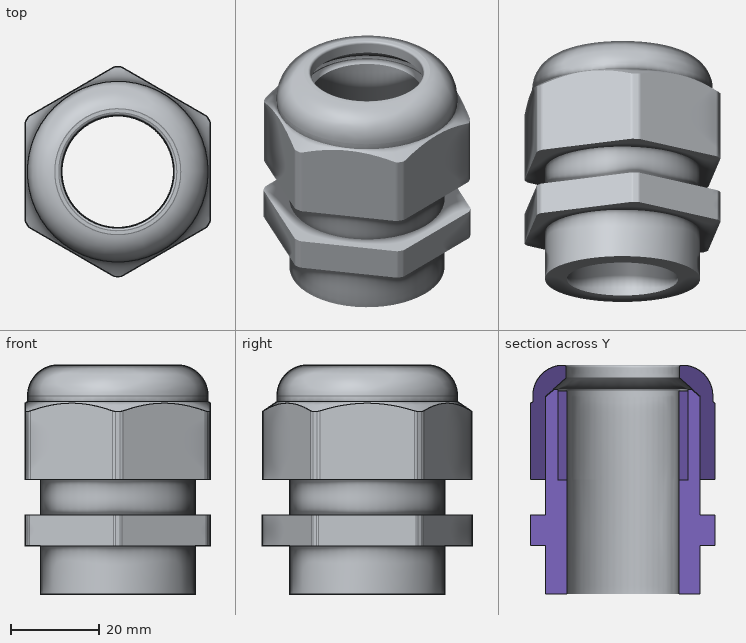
import cadquery as cq
import math


across_flats = 42.0
barrel_radius = 17.6
passage_radius = 12.65

body_top = 46.5
flange_bottom = 11.0
flange_top = 18.0
flange_corner_radius = 23.83
flange_corner_blend = 1.0

seal_radius = 14.7
seal_bottom = 26.0
seal_top = body_top - 0.3

cap_bottom = 26.0
cap_top = 52.0
cap_corner_radius = 23.75
cap_corner_blend = 1.5
chamfer_bottom = 41.5
chamfer_top = 43.7
dome_radius = 20.5
dome_start = 45.0
dome_rim_radius = 14.3
lip_radius = 12.8
lip_rounding = 0.6
lip_bottom = 49.1
clamp_slope = 0.87

dome_width = dome_radius - dome_rim_radius
dome_height = cap_top - dome_start
dome_arc_radius = (dome_width**2 + dome_height**2) / (2 * dome_width)
dome_sweep = math.asin(dome_height / dome_arc_radius)
dome_mid = (
    dome_radius - dome_arc_radius * (1 - math.cos(dome_sweep / 2)),
    dome_start + dome_arc_radius * math.sin(dome_sweep / 2),
)

clamp_bottom = lip_bottom - clamp_slope * (barrel_radius - lip_radius)
body_rim_radius = lip_radius + (lip_bottom - body_top) / clamp_slope


def revolve_about_z(profile):
    """Revolve a closed (radius, height) profile drawn in the XZ plane about Z."""
    return profile.close().revolve(360, (0, 0, 0), (0, 1, 0))


def cylinder(radius, bottom, top):
    return cq.Workplane("XY").workplane(offset=bottom).circle(radius).extrude(top - bottom)


def hex_prism(bottom, top, corner_radius, corner_blend):
    """Hexagon with corners on the Y axis, turned to a radius and blended into the flats."""
    hexagon = (
        cq.Workplane("XY")
        .workplane(offset=bottom)
        .polygon(6, across_flats, circumscribed=True)
        .extrude(top - bottom)
    )
    turned = hexagon.intersect(cylinder(corner_radius, bottom, top))
    return turned.edges("|Z").fillet(corner_blend)


def make_body():
    barrel = revolve_about_z(
        cq.Workplane("XZ")
        .lineTo(barrel_radius, 0)
        .lineTo(barrel_radius, clamp_bottom)
        .lineTo(body_rim_radius, body_top)
        .lineTo(0, body_top)
    )
    flange = hex_prism(flange_bottom, flange_top, flange_corner_radius, flange_corner_blend)
    passage = cylinder(passage_radius, 0, body_top)
    seal_seat = cylinder(seal_radius, seal_bottom, body_top)
    return barrel.union(flange).cut(passage).cut(seal_seat).solids()


def make_seal():
    sleeve = cylinder(seal_radius, seal_bottom, seal_top)
    return sleeve.cut(cylinder(passage_radius, seal_bottom, seal_top)).solids()


def make_cap():
    hexagon = hex_prism(cap_bottom, chamfer_top, cap_corner_radius, cap_corner_blend)
    chamfer_envelope = revolve_about_z(
        cq.Workplane("XZ")
        .moveTo(0, cap_bottom)
        .lineTo(cap_corner_radius, cap_bottom)
        .lineTo(cap_corner_radius, chamfer_bottom)
        .lineTo(dome_radius, chamfer_top)
        .lineTo(0, chamfer_top)
    )
    dome = revolve_about_z(
        cq.Workplane("XZ")
        .moveTo(0, chamfer_top)
        .lineTo(dome_radius, chamfer_top)
        .lineTo(dome_radius, dome_start)
        .threePointArc(dome_mid, (dome_rim_radius, cap_top))
        .lineTo(0, cap_top)
    )
    opening = revolve_about_z(
        cq.Workplane("XZ")
        .moveTo(0, cap_bottom)
        .lineTo(barrel_radius, cap_bottom)
        .lineTo(barrel_radius, clamp_bottom)
        .lineTo(lip_radius, lip_bottom)
        .lineTo(lip_radius, cap_top - lip_rounding)
        .radiusArc((lip_radius + lip_rounding, cap_top), lip_rounding)
        .lineTo(0, cap_top)
    )
    return hexagon.intersect(chamfer_envelope).union(dome).cut(opening).solids()


body = make_body()
seal = make_seal()
cap = make_cap()

result = cq.Compound.makeCompound([body.val(), seal.val(), cap.val()])